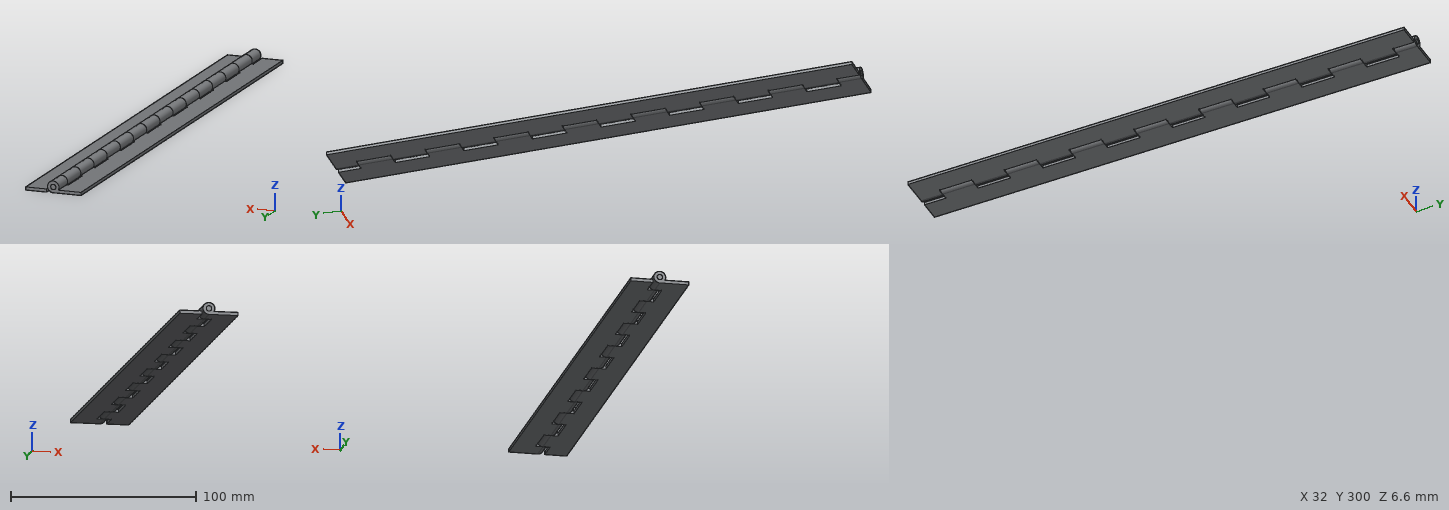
import cadquery as cq
import math

LENGTH = 300.0
WIDTH = 32.0
THICKNESS = 1.8

PIN_DIAMETER = 3.0
END_KNUCKLE = 13.0
FULL_KNUCKLES = 14
NOTCH_CLEARANCE = 0.5

pin_radius = PIN_DIAMETER / 2
knuckle_radius = pin_radius + THICKNESS
knuckle_pitch = (LENGTH - 2 * END_KNUCKLE) / FULL_KNUCKLES
notch_edge = knuckle_radius + NOTCH_CLEARANCE

first_joint = -LENGTH / 2 + END_KNUCKLE
joints = [first_joint + i * knuckle_pitch for i in range(FULL_KNUCKLES + 1)]
knuckle_ends = [-LENGTH / 2, *joints, LENGTH / 2]


def extrude_along_y(profile, y_start, y_end):
    """Extrude an XZ-plane profile from y_start to y_end."""
    return profile.extrude(y_start - y_end).translate((0, y_start, 0))


def make_plate():
    """Flat part of the +X leaf, outside the knuckle clearance."""
    return cq.Workplane("XY").box(
        WIDTH / 2 - notch_edge, LENGTH, THICKNESS, centered=(False, True, False)
    ).translate((notch_edge, 0, -knuckle_radius))


def make_knuckle(y_start, y_end):
    """Length of sheet that runs under the pin, curls round it and ends on the top of the leaf."""
    seat = -pin_radius
    curl_end = math.sqrt(knuckle_radius**2 - pin_radius**2)
    profile = (
        cq.Workplane("XZ")
        .moveTo(notch_edge, -knuckle_radius)
        .lineTo(0, -knuckle_radius)
        .threePointArc((-knuckle_radius, 0), (curl_end, seat))
        .lineTo(notch_edge, seat)
        .close()
        .moveTo(0, 0)
        .circle(pin_radius)
    )
    return extrude_along_y(profile, y_start, y_end)


def make_leaf():
    """The +X leaf: a plate with every second knuckle, starting at the -Y end."""
    leaf = make_plate()
    for y_start, y_end in zip(knuckle_ends[0::2], knuckle_ends[1::2]):
        leaf = leaf.union(make_knuckle(y_start, y_end))
    return leaf


def make_pin():
    """Plain round pin, flush with both ends of the hinge."""
    return extrude_along_y(cq.Workplane("XZ").circle(pin_radius), -LENGTH / 2, LENGTH / 2)


right_leaf = make_leaf()
left_leaf = make_leaf().rotate((0, 0, 0), (0, 0, 1), 180)
pin = make_pin()

result = cq.Compound.makeCompound([right_leaf.val(), left_leaf.val(), pin.val()])